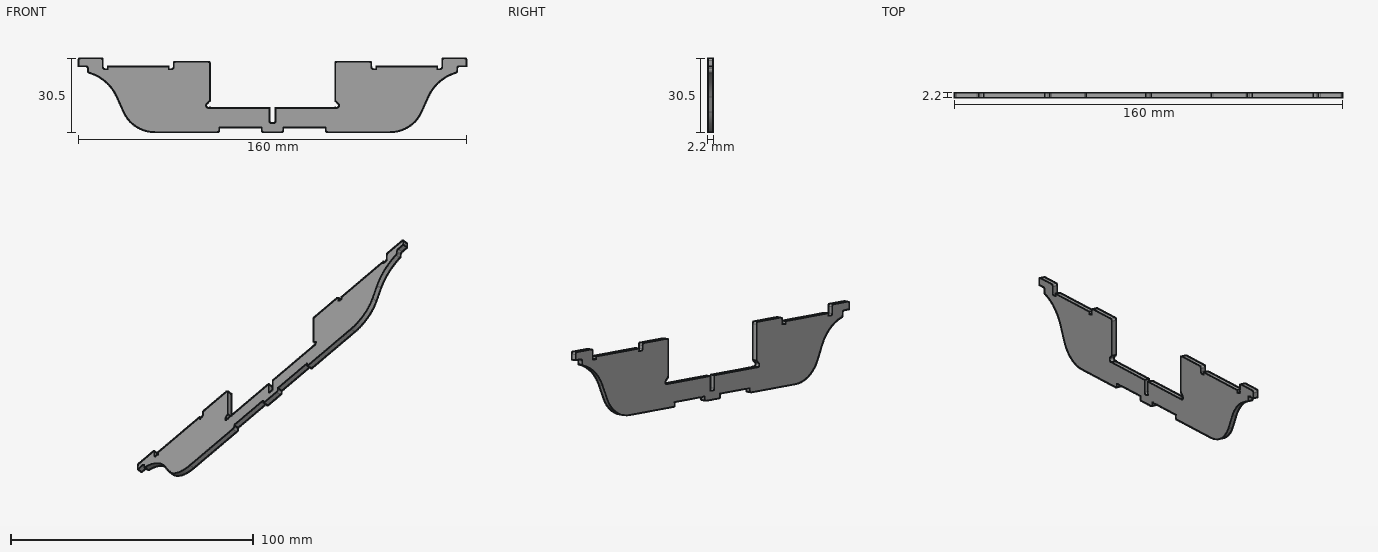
import cadquery as cq
import math

length = 160.0
thickness = 2.2
height = 30.5
half_length = length / 2
corner_radius = 0.8

tab_inner_x = 70.0
shelf_z = 27.2
notch_width = 2.0
notch_floor_z = 26.0
pad_outer_x = 40.8
pad_inner_x = 25.8
pad_top_z = 29.1
opening_floor_z = 10.0

relief_radius = 1.0
relief_center_x = 26.4
relief_center_z = opening_floor_z + relief_radius

slot_width = 2.4
slot_floor_z = 3.8

recess_inner_x = 4.5
recess_outer_x = 22.0
recess_depth = 2.0

flank_angle = math.radians(66)
flank_length = 6.7
lower_arc_x = 48.5
lower_arc_radius = 14.2
upper_arc_radius = 18.0
step_x = 76.2


def arc_point(center, radius, angle):
    """Point on a circle at an angle measured from +X toward +Z."""
    return (center[0] + radius * math.cos(angle), center[1] + radius * math.sin(angle))


def half_outline():
    """Closed +X half outline, and the corner where the upper arc meets the step."""
    lower_center = (lower_arc_x, lower_arc_radius)
    lower_end_angle = flank_angle - math.pi / 2
    lower_mid = arc_point(lower_center, lower_arc_radius, (lower_end_angle - math.pi / 2) / 2)
    flank_start = arc_point(lower_center, lower_arc_radius, lower_end_angle)
    flank_end = arc_point(flank_start, flank_length, flank_angle)
    upper_center = arc_point(flank_end, upper_arc_radius, lower_end_angle)
    end_angle = math.acos((step_x - upper_center[0]) / upper_arc_radius)
    upper_mid_angle = (flank_angle + math.pi / 2 + end_angle) / 2
    upper_mid = arc_point(upper_center, upper_arc_radius, upper_mid_angle)
    upper_end = arc_point(upper_center, upper_arc_radius, end_angle)

    outline = (
        cq.Workplane("XZ", origin=(0, thickness / 2, 0))
        .moveTo(0, 0)
        .lineTo(lower_arc_x, 0)
        .threePointArc(lower_mid, flank_start)
        .lineTo(*flank_end)
        .threePointArc(upper_mid, upper_end)
        .lineTo(step_x, shelf_z)
        .lineTo(half_length, shelf_z)
        .lineTo(half_length, height)
        .lineTo(tab_inner_x, height)
        .lineTo(tab_inner_x, notch_floor_z)
        .lineTo(tab_inner_x - notch_width, notch_floor_z)
        .lineTo(tab_inner_x - notch_width, shelf_z)
        .lineTo(pad_outer_x + notch_width, shelf_z)
        .lineTo(pad_outer_x + notch_width, notch_floor_z)
        .lineTo(pad_outer_x, notch_floor_z)
        .lineTo(pad_outer_x, pad_top_z)
        .lineTo(pad_inner_x, pad_top_z)
        .lineTo(pad_inner_x, opening_floor_z)
        .lineTo(0, opening_floor_z)
        .close()
    )
    return outline, upper_end


def block(x_min, x_max, z_min, z_max):
    """Cutting block through the plate thickness."""
    size = (x_max - x_min, thickness, z_max - z_min)
    return cq.Workplane("XY").box(*size).translate(((x_min + x_max) / 2, 0, (z_min + z_max) / 2))


def corner_relief():
    """Rounded 45 degree slot running from the relief center into the opening."""
    run = 2 * relief_radius
    return (
        cq.Workplane("XZ", origin=(relief_center_x, thickness / 2, relief_center_z))
        .transformed(rotate=(0, 0, 135))
        .center(run / 2, 0)
        .slot2D(run + 2 * relief_radius, 2 * relief_radius)
        .extrude(thickness)
        .intersect(block(0, half_length, opening_floor_z, height))
    )


def round_corners(body, corners):
    """Round the through-thickness edges at the given (x, z) corners."""
    margin = 0.08
    for x, z in corners:
        low = (x - margin, -thickness, z - margin)
        high = (x + margin, thickness, z + margin)
        body = body.edges("|Y").edges(cq.selectors.BoxSelector(low, high)).fillet(corner_radius)
    return body


outline, step_corner = half_outline()
half = outline.extrude(thickness)
half = half.cut(block(recess_inner_x, recess_outer_x, 0, recess_depth))
half = round_corners(
    half,
    [
        (recess_inner_x, 0),
        (recess_outer_x, 0),
        step_corner,
        (step_x, shelf_z),
        (half_length, height),
        (tab_inner_x, height),
        (tab_inner_x, notch_floor_z),
        (pad_outer_x, notch_floor_z),
        (pad_outer_x, pad_top_z),
        (pad_inner_x, pad_top_z),
    ],
)
half = half.cut(corner_relief())
plate = half.union(half.mirror("YZ"))

slot = block(-slot_width / 2, slot_width / 2, slot_floor_z, opening_floor_z)
slot = slot.edges("|Y and <Z").fillet(corner_radius)
result = plate.cut(slot)